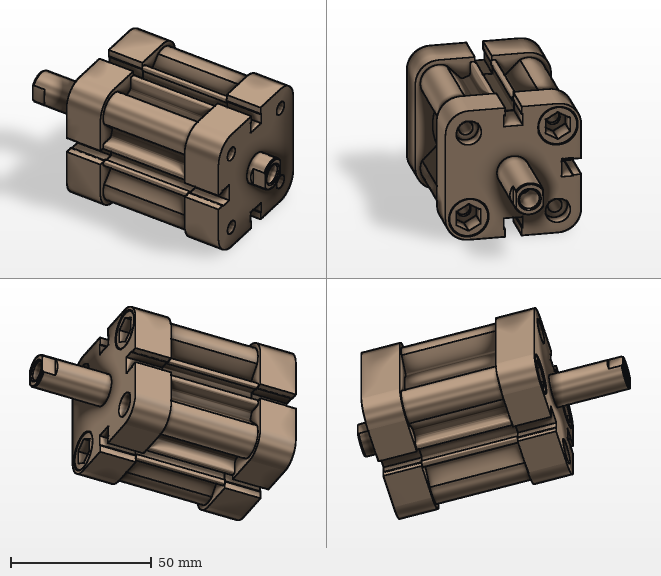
import cadquery as cq
import math


CAP_THICKNESS = 14.3
BARREL_LENGTH = 35.7
FRONT_ROD_REACH = 27.1
ROD_LENGTH = 98.5
HOUSING_LENGTH = 2 * CAP_THICKNESS + BARREL_LENGTH

CAP_SIDE = 49.5
CAP_HALF = CAP_SIDE / 2
BOLT_OFFSET = 16.3
CAP_CORNER_RADIUS = CAP_HALF - BOLT_OFFSET
CAP_SLOT_MOUTH_HALF = 3.1
CAP_SLOT_HALF = 3.4
CAP_SLOT_STEP = 21.8
CAP_SLOT_FLOOR = 17.6

CORE_RADIUS = 18.5
TUBE_RADIUS = 6.7
WEB_HALF = 6.3
WEB_FILLET = 1.2
RAIL_HALF = 4.8
RAIL_TOP = 23.0
RAIL_ROOT_FILLET = 1.1
RAIL_EDGE_FILLET = 0.8
RAIL_SLOT_MOUTH_HALF = 2.8
RAIL_SLOT_HALF = 3.3
RAIL_LIP_UNDERSIDE = 21.5
RAIL_SLOT_FLOOR = 17.9
RAIL_MOUTH_FILLET = 0.3
RAIL_SLOT_FILLET = 0.3

THROUGH_RADIUS = 2.6
PLAIN_BORE_RADIUS = 4.5
PLAIN_BORE_DEPTH = 4.9
SCREW_BORE_RADIUS = 7.3
SCREW_BORE_DEPTH = 9.85
SCREW_RADIUS = 7.0
SCREW_RECESS = 0.2
SOCKET_FLATS = 9.0
SOCKET_DEPTH = 7.9

ROD_RADIUS = 6.0
ROD_CHAMFER_RADIAL = 0.3
ROD_CHAMFER_AXIAL = 0.5
ROD_FLATS = 9.85
FLAT_LENGTH = 5.1
FLAT_RUNOUT = 0.4
ROD_HOLE_RADIUS = 3.6
ROD_HOLE_DEPTH = 14.8
ROD_HOLE_MOUTH_RADIUS = 4.1
DRILL_TIP_ANGLE = 118.0

SLOT_ANGLES = (0, 90, 180)
SCREW_CORNERS = ((-1, 1), (1, -1))
PLAIN_CORNERS = ((1, 1), (-1, -1))


def cross_section(x):
    """Workplane normal to +X at the given x, with local axes along Y and Z."""
    return cq.Workplane("YZ").workplane(offset=x)


def bolt_points(corners):
    return [(y * BOLT_OFFSET, z * BOLT_OFFSET) for y, z in corners]


def bar(x, length, half_width, bottom, top):
    """Block along X, centred in Y, between two heights in Z."""
    return (
        cross_section(x)
        .center(0, (bottom + top) / 2)
        .rect(2 * half_width, top - bottom)
        .extrude(length)
    )


def turn(solid, angle):
    return solid.rotate((0, 0, 0), (1, 0, 0), angle)


def edges_along_x(solid, keep):
    """Edges parallel to X whose centre (y, z) satisfies keep."""
    return solid.edges("|X").filter(lambda edge: keep(edge.Center().y, edge.Center().z))


def on_core(y, z):
    return math.isclose(math.hypot(y, z), CORE_RADIUS, abs_tol=0.01)


def make_cap(x):
    cap = cross_section(x).rect(CAP_SIDE, CAP_SIDE).extrude(CAP_THICKNESS)
    cap = cap.edges("|X").fillet(CAP_CORNER_RADIUS)
    slot = bar(x, CAP_THICKNESS, CAP_SLOT_HALF, CAP_SLOT_FLOOR, CAP_SLOT_STEP)
    slot = slot.union(bar(x, CAP_THICKNESS, CAP_SLOT_MOUTH_HALF, CAP_SLOT_FLOOR, CAP_HALF))
    for angle in SLOT_ANGLES:
        cap = cap.cut(turn(slot, angle))
    return cap


def make_tube_arm(x, length):
    """Bolt tube pointing up from the axis, its sides trimmed flat and carried in to the core."""
    tube_height = BOLT_OFFSET * math.sqrt(2)
    tube = cross_section(x).center(0, tube_height).circle(TUBE_RADIUS).extrude(length)
    trim = bar(x, length, WEB_HALF, 0, tube_height + TUBE_RADIUS)
    web = bar(x, length, WEB_HALF, 0, tube_height)
    return web.union(tube.intersect(trim))


def make_barrel():
    x = CAP_THICKNESS
    length = BARREL_LENGTH

    barrel = cross_section(x).circle(CORE_RADIUS).extrude(length)
    arm = make_tube_arm(x, length)
    for angle in (45, 135, 225, 315):
        barrel = barrel.union(turn(arm, angle))
    barrel = edges_along_x(barrel, on_core).fillet(WEB_FILLET)

    rail = bar(x, length, RAIL_HALF, 0, RAIL_TOP)
    rail = edges_along_x(rail, lambda y, z: z > RAIL_SLOT_FLOOR).fillet(RAIL_EDGE_FILLET)
    for angle in SLOT_ANGLES:
        barrel = barrel.union(turn(rail, angle))

    def at_rail_root(y, z):
        across = min(abs(y), abs(z))
        return on_core(y, z) and math.isclose(across, RAIL_HALF, abs_tol=0.01)

    barrel = edges_along_x(barrel, at_rail_root).fillet(RAIL_ROOT_FILLET)

    slot = bar(x, length, RAIL_SLOT_HALF, RAIL_SLOT_FLOOR, RAIL_LIP_UNDERSIDE)
    slot = edges_along_x(slot, lambda y, z: z < RAIL_LIP_UNDERSIDE - RAIL_SLOT_FILLET).fillet(RAIL_SLOT_FILLET)
    slot = slot.union(bar(x, length, RAIL_SLOT_MOUTH_HALF, RAIL_SLOT_FLOOR, RAIL_TOP))
    for angle in SLOT_ANGLES:
        barrel = barrel.cut(turn(slot, angle))

    def at_slot_mouth(y, z):
        across, out = sorted((abs(y), abs(z)))
        at_top = math.isclose(out, RAIL_TOP, abs_tol=0.01)
        return at_top and math.isclose(across, RAIL_SLOT_MOUTH_HALF, abs_tol=0.01)

    return edges_along_x(barrel, at_slot_mouth).fillet(RAIL_MOUTH_FILLET)


def make_housing():
    housing = make_barrel()
    for x in (0, CAP_THICKNESS + BARREL_LENGTH):
        housing = housing.union(make_cap(x))
    holes = cross_section(0)
    all_corners = SCREW_CORNERS + PLAIN_CORNERS
    for cutter in (
        holes.circle(ROD_RADIUS).extrude(HOUSING_LENGTH),
        holes.pushPoints(bolt_points(all_corners)).circle(THROUGH_RADIUS).extrude(HOUSING_LENGTH),
        holes.pushPoints(bolt_points(PLAIN_CORNERS)).circle(PLAIN_BORE_RADIUS).extrude(PLAIN_BORE_DEPTH),
        holes.pushPoints(bolt_points(SCREW_CORNERS)).circle(SCREW_BORE_RADIUS).extrude(SCREW_BORE_DEPTH),
    ):
        housing = housing.cut(cutter)
    return housing


def make_screw(y, z):
    """Hollow screw with a hexagon socket, seated at the bottom of its bore."""
    plane = cross_section(SCREW_RECESS).center(y, z)
    screw = plane.circle(SCREW_RADIUS).circle(THROUGH_RADIUS).extrude(SCREW_BORE_DEPTH - SCREW_RECESS)
    across_corners = SOCKET_FLATS / math.cos(math.radians(30))
    socket = plane.polygon(6, across_corners).extrude(SOCKET_DEPTH)
    socket = socket.rotate((0, y, z), (1, y, z), 30)
    return screw.cut(socket)


def flat_cutter():
    """Cuts one wrench flat on the -Y side at the start of the rod, with a sloping shoulder."""
    flat_y = -ROD_FLATS / 2
    slope = FLAT_RUNOUT / (ROD_RADIUS - ROD_FLATS / 2)
    clear_y = -2 * ROD_RADIUS
    return (
        cq.Workplane("XY")
        .moveTo(0, flat_y)
        .lineTo(FLAT_LENGTH, flat_y)
        .lineTo(FLAT_LENGTH + slope * (flat_y - clear_y), clear_y)
        .lineTo(0, clear_y)
        .close()
        .extrude(ROD_RADIUS, both=True)
    )


def rod_hole_cutter():
    """Blind drilled hole at the start of the rod, countersunk at 45 degrees."""
    mouth_depth = ROD_HOLE_MOUTH_RADIUS - ROD_HOLE_RADIUS
    tip_length = ROD_HOLE_RADIUS / math.tan(math.radians(DRILL_TIP_ANGLE / 2))
    return (
        cq.Workplane("XY")
        .lineTo(0, ROD_HOLE_MOUTH_RADIUS)
        .lineTo(mouth_depth, ROD_HOLE_RADIUS)
        .lineTo(ROD_HOLE_DEPTH, ROD_HOLE_RADIUS)
        .lineTo(ROD_HOLE_DEPTH + tip_length, 0)
        .close()
        .revolve(360, (0, 0, 0), (1, 0, 0))
    )


def make_rod():
    """Through rod with the same flats and hole at both ends."""
    rod = cross_section(0).circle(ROD_RADIUS).extrude(ROD_LENGTH)
    rod = rod.faces("<X or >X").chamfer(ROD_CHAMFER_AXIAL, ROD_CHAMFER_RADIAL)
    end_cutter = flat_cutter().union(turn(flat_cutter(), 180)).union(rod_hole_cutter())
    far_end_cutter = end_cutter.mirror("YZ").translate((ROD_LENGTH, 0, 0))
    rod = rod.cut(end_cutter).cut(far_end_cutter)
    return rod.translate((-FRONT_ROD_REACH, 0, 0))


housing = make_housing()
rod = make_rod()
screws = [make_screw(y, z) for y, z in bolt_points(SCREW_CORNERS)]

result = cq.Compound.makeCompound([housing.val(), rod.val(), *[screw.val() for screw in screws]])